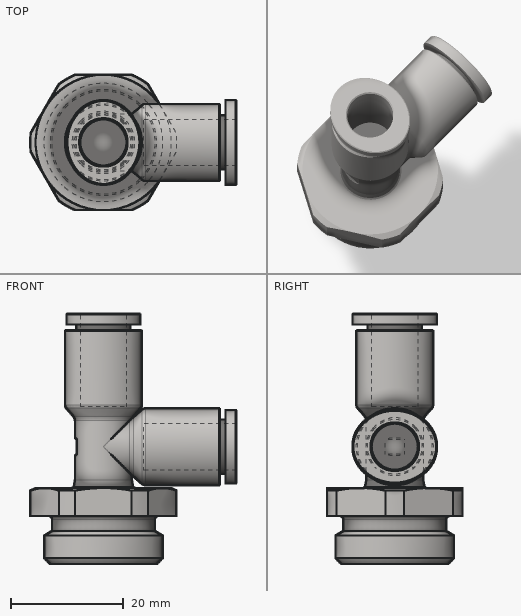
import cadquery as cq
import math

TOTAL_HEIGHT = 44.4

PORT_REACH = 23.58
BODY_END = 20.7
BUTTON_START = 21.62
TAPER_INNER_END = 5.05
TAPER_OUTER_END = 7.1
STEM_RADIUS = 5.05
BODY_RADIUS = 6.85
BODY_EDGE_CHAMFER = 0.2
TAPER_INNER_BLEND = 1.1
TAPER_OUTER_BLEND = 0.9
NECK_RADIUS = 4.85
BUTTON_WIDTH = 13.1
BUTTON_LENGTH_Y = 15.05
BUTTON_CHAMFER = 0.18
BORE_RADIUS = 4.1
BORE_CHAMFER = 0.2

THREAD_RADIUS = 10.52
THREAD_CHAMFER = 1.1
THREAD_TOP = 5.05
RELIEF_BOTTOM = 5.9
RELIEF_RADIUS = 9.15
RELIEF_FILLET = 0.58
HEX_BOTTOM = 8.52
HEX_TOP = 13.5
HEX_FLATS = 24.0
HEX_CORNER_RADIUS = 13.0
HEX_CHAMFER_HEIGHT = 0.45

FOOT_TOP = 14.95
FOOT_RADIUS = 5.3
FOOT_FLARE_HEIGHT = 0.2
FOOT_FLARE_RADIUS = 5.55

RECESS_DEPTH = 0.3
RECESS_FLOOR_HEIGHT = 2.58

AXIS_HEIGHT = TOTAL_HEIGHT - PORT_REACH
HEX_FLAT_RADIUS = HEX_FLATS / 2
BORE_DEPTH = PORT_REACH - TAPER_OUTER_END


def revolve_about_z(profile):
    """Solid of revolution from a closed profile of (radius, height)."""
    return profile.close().revolve(360, (0, 0, 0), (0, 1, 0))


def corner_blend(body, height, radius, blend):
    """Round the circular edge of the given radius at the given height by the blend radius."""
    margin = 0.05
    box = cq.selectors.BoxSelector(
        (-radius - margin, -radius - margin, height - margin),
        (radius + margin, radius + margin, height + margin),
        boundingbox=True,
    )
    return body.edges(box).fillet(blend)


def port_outside():
    """Port along +Z from the axis crossing: stem, tapered body, neck and oval button."""
    body = revolve_about_z(
        cq.Workplane("XZ")
        .moveTo(0, 0)
        .lineTo(STEM_RADIUS, 0)
        .lineTo(STEM_RADIUS, TAPER_INNER_END)
        .lineTo(BODY_RADIUS, TAPER_OUTER_END)
        .lineTo(BODY_RADIUS, BODY_END)
        .lineTo(0, BODY_END)
    )
    body = body.faces(">Z").chamfer(BODY_EDGE_CHAMFER)
    body = corner_blend(body, TAPER_INNER_END, STEM_RADIUS, TAPER_INNER_BLEND)
    body = corner_blend(body, TAPER_OUTER_END, BODY_RADIUS, TAPER_OUTER_BLEND)
    neck = (
        cq.Workplane("XY")
        .workplane(offset=BODY_END)
        .circle(NECK_RADIUS)
        .extrude(BUTTON_START - BODY_END)
    )
    button = (
        cq.Workplane("XY")
        .workplane(offset=BUTTON_START)
        .ellipse(BUTTON_WIDTH / 2, BUTTON_LENGTH_Y / 2)
        .extrude(PORT_REACH - BUTTON_START)
        .faces(">Z")
        .chamfer(BUTTON_CHAMFER)
    )
    return body.union(neck).union(button)


def port_bore():
    """Blind tube bore with a chamfered mouth, in the same position as the port."""
    mouth_radius = BORE_RADIUS + BORE_CHAMFER
    return revolve_about_z(
        cq.Workplane("XZ")
        .moveTo(0, PORT_REACH - BORE_DEPTH)
        .lineTo(BORE_RADIUS, PORT_REACH - BORE_DEPTH)
        .lineTo(BORE_RADIUS, PORT_REACH - BORE_CHAMFER)
        .lineTo(mouth_radius, PORT_REACH)
        .lineTo(0, PORT_REACH)
    )


def place_top(shape):
    """Raise a port to the axis crossing, pointing up."""
    return shape.translate((0, 0, AXIS_HEIGHT))


def place_side(shape):
    """Turn a port to point along +X at the axis crossing."""
    return place_top(shape.rotate((0, 0, 0), (0, 1, 0), 90))


def threaded_base():
    """Thread cylinder with lead chamfer and an undercut beneath the hexagon."""
    fillet_outer = RELIEF_RADIUS + RELIEF_FILLET
    fillet_bottom = HEX_BOTTOM - RELIEF_FILLET
    fillet_mid_offset = RELIEF_FILLET * math.sqrt(0.5)
    return revolve_about_z(
        cq.Workplane("XZ")
        .moveTo(0, 0)
        .lineTo(THREAD_RADIUS - THREAD_CHAMFER, 0)
        .lineTo(THREAD_RADIUS, THREAD_CHAMFER)
        .lineTo(THREAD_RADIUS, THREAD_TOP)
        .lineTo(RELIEF_RADIUS, RELIEF_BOTTOM)
        .lineTo(RELIEF_RADIUS, fillet_bottom)
        .threePointArc(
            (fillet_outer - fillet_mid_offset, fillet_bottom + fillet_mid_offset),
            (fillet_outer, HEX_BOTTOM),
        )
        .lineTo(0, HEX_BOTTOM)
    )


def hexagon():
    """Hexagon with rounded corners and a conical chamfer on its upper face."""
    prism = (
        cq.Workplane("XY")
        .workplane(offset=HEX_BOTTOM)
        .polygon(6, HEX_FLATS / math.cos(math.radians(30)))
        .extrude(HEX_TOP - HEX_BOTTOM)
    )
    envelope = revolve_about_z(
        cq.Workplane("XZ")
        .moveTo(0, HEX_BOTTOM)
        .lineTo(HEX_CORNER_RADIUS, HEX_BOTTOM)
        .lineTo(HEX_CORNER_RADIUS, HEX_TOP - HEX_CHAMFER_HEIGHT)
        .lineTo(HEX_FLAT_RADIUS, HEX_TOP)
        .lineTo(0, HEX_TOP)
    )
    return prism.intersect(envelope)


def lower_stem():
    """Stem from the hexagon up to the axis crossing, with its conical foot."""
    return revolve_about_z(
        cq.Workplane("XZ")
        .moveTo(0, HEX_TOP)
        .lineTo(FOOT_FLARE_RADIUS, HEX_TOP)
        .lineTo(FOOT_RADIUS, HEX_TOP + FOOT_FLARE_HEIGHT)
        .lineTo(STEM_RADIUS, FOOT_TOP)
        .lineTo(STEM_RADIUS, AXIS_HEIGHT)
        .lineTo(0, AXIS_HEIGHT)
    )


def stem_recess():
    """Flat-floored cutter with 45 degree ends on the -X side of the stem."""
    floor_half = RECESS_FLOOR_HEIGHT / 2
    mouth_half = floor_half + RECESS_DEPTH
    return (
        cq.Workplane("XZ")
        .moveTo(-STEM_RADIUS, AXIS_HEIGHT - mouth_half)
        .lineTo(RECESS_DEPTH - STEM_RADIUS, AXIS_HEIGHT - floor_half)
        .lineTo(RECESS_DEPTH - STEM_RADIUS, AXIS_HEIGHT + floor_half)
        .lineTo(-STEM_RADIUS, AXIS_HEIGHT + mouth_half)
        .close()
        .extrude(STEM_RADIUS, both=True)
    )


result = (
    threaded_base()
    .union(hexagon())
    .union(lower_stem())
    .union(place_top(port_outside()))
    .union(place_side(port_outside()))
    .cut(place_top(port_bore()))
    .cut(place_side(port_bore()))
    .cut(stem_recess())
)